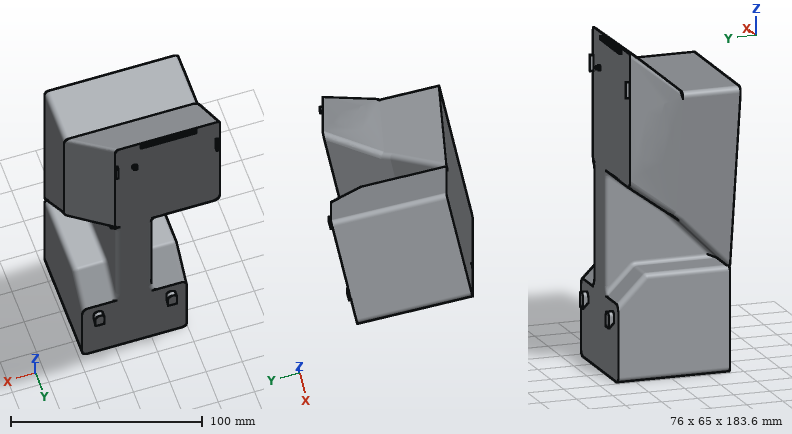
import cadquery as cq

width = 76.0
height = 183.6
body_depth = 62.0
pin_height = 3.0

base_left = 18.4
base_top = 57.8
ramp_start = 46.6
base_center = (base_left + width) / 2

head_front_left = 1.5
head_front_top = 159.5
bend_depth = 32.0
head_back_right = 57.8

front_wall = 1.1
underside_bend_depth = 29.4
underside_bend_height = 86.1
underside_back_height = 110.5

neck_width = 19.8
neck_edge_radius = 2.2

outer_radius = 3.0
rear_top_radius = 1.5
inner_radius = 2.4

pin_diameter = 5.0
pin_center_height = 34.5
pin_tip_height = 28.5
pin_spacing = 40.0
clip_thickness = 1.3
clip_length = 8.6
clip_height = 1.8
clip_bottom = 159.5
clip_centers = (1.8, 57.3)
bar_left = 13.2
bar_length = 30.7
bar_width = 1.5
bar_height = 1.1
bar_bottom = 180.5
bar_chamfer = 0.5
button_center = (base_center, clip_bottom + clip_length / 2)
button_diameter = 2.8
button_flange_height = 0.5
button_cap_diameter = 1.8
button_cap_height = 1.8

overlap = 1.8


def prism_along_x(points, start, end):
    """Extrude a (Y, Z) outline from x = start to x = end."""
    return cq.Workplane("YZ").workplane(offset=start).polyline(points).close().extrude(end - start)


def prism_along_y(points, start, end):
    """Extrude an (X, Z) outline from y = start to y = end."""
    return cq.Workplane("XZ", origin=(0, start, 0)).polyline(points).close().extrude(start - end)


def underside_height(depth):
    """Height of the rear slope of the head's underside at a given depth."""
    slope = (underside_back_height - underside_bend_height) / (body_depth - underside_bend_depth)
    return underside_bend_height + slope * (depth - underside_bend_depth)


def gap_outline(back):
    """(Y, Z) outline of the gap between base and head, open to y = back."""
    return [
        (front_wall, base_top),
        (ramp_start, base_top),
        (back, base_top - (back - ramp_start)),
        (back, underside_height(back)),
        (underside_bend_depth, underside_bend_height),
    ]


def make_gap(start, end, back):
    """Gap between base and head from x = start to x = end, rounded where the base's ramp starts."""
    gap = prism_along_x(gap_outline(back), start, end)
    ramp_edge = cq.selectors.NearestToPointSelector(((start + end) / 2, ramp_start, base_top))
    return gap.edges(ramp_edge).fillet(outer_radius)


def make_base():
    """Base block with the ramp start and the side edges rounded."""
    outline = [
        (0, 0),
        (body_depth, 0),
        (body_depth, base_top - (body_depth - ramp_start)),
        (ramp_start, base_top),
        (0, base_top),
    ]
    block = prism_along_x(outline, base_left, width)
    ramp_edge = cq.selectors.NearestToPointSelector((base_center, ramp_start, base_top))
    block = block.edges(ramp_edge).fillet(outer_radius)
    long_edges = block.faces("<X or >X").edges("not(<Y or >Y)")
    return long_edges.fillet(outer_radius)


def side_x(z):
    """X of the slanted left side of the front part of the head."""
    return base_left + (head_front_left - base_left) * (z - base_top) / (head_front_top - base_top)


def side_edges(solid, lowest, highest):
    """Edges running front to back whose middle lies between two heights."""
    return solid.edges().filter(
        lambda edge: edge.BoundingBox().ylen > 2 * front_wall
        and lowest < edge.Center().z < highest
    )


def round_head(head):
    """Round the long side edges: underside, front top, then the flaring rear top."""
    head = side_edges(head, base_top, underside_back_height).fillet(outer_radius)
    below_top = head_front_top - outer_radius
    above_top = head_front_top + outer_radius
    head = side_edges(head, below_top, above_top).fillet(outer_radius)
    return side_edges(head, above_top, height).fillet(rear_top_radius)


def make_head():
    """Straight front part joined to the flaring rear part, cut off along the underside."""
    front_outline = [
        (base_left, base_top),
        (width, base_top),
        (width, head_front_top),
        (head_front_left, head_front_top),
    ]
    front = prism_along_y(front_outline, 0, bend_depth)

    bend_z = underside_height(bend_depth)
    bend_section = [
        (side_x(bend_z), bend_z),
        (width, bend_z),
        (width, head_front_top),
        (head_front_left, head_front_top),
    ]
    back_section = [
        (0, underside_back_height),
        (head_back_right, underside_back_height),
        (head_back_right, height),
        (0, height),
    ]
    rear = (
        cq.Workplane("XZ", origin=(0, bend_depth, 0))
        .polyline(bend_section)
        .close()
        .workplane(offset=bend_depth - body_depth)
        .polyline(back_section)
        .close()
        .loft(ruled=True, combine=True)
    )
    gap = make_gap(0, width, body_depth)
    head = front.union(rear).cut(gap)
    return round_head(head)


def make_neck():
    """Filling of the gap between base and head, with flared ends and rounded back edges."""
    reach = 3 * inner_radius
    back = body_depth + reach
    neck_left = base_center - neck_width / 2
    neck_right = base_center + neck_width / 2
    neck = make_gap(neck_left - reach, neck_right + reach, body_depth)
    left = make_gap(neck_left - 2 * reach, neck_left, back)
    right = make_gap(neck_right, neck_right + 2 * reach, back)
    neck = neck.cut(left.faces(">X").edges().fillet(inner_radius))
    neck = neck.cut(right.faces("<X").edges().fillet(inner_radius))
    return neck.edges("|Z and >Y").fillet(neck_edge_radius)


def make_hook_pin(center_x):
    """Pin with a half-round top and a bottom that slopes down to a tip away from the body."""
    half = pin_diameter / 2
    tip_depth = body_depth + pin_height
    front_shape = (
        cq.Workplane("XZ", origin=(center_x, body_depth - overlap, 0))
        .moveTo(-half, pin_tip_height)
        .lineTo(-half, pin_center_height)
        .threePointArc((0, pin_center_height + half), (half, pin_center_height))
        .lineTo(half, pin_tip_height)
        .close()
        .extrude(-overlap - pin_height)
    )
    below_slope = [
        (tip_depth, pin_tip_height),
        (body_depth - overlap, pin_tip_height + pin_height + overlap),
        (body_depth - overlap, pin_tip_height),
    ]
    return front_shape.cut(prism_along_x(below_slope, center_x - half, center_x + half))


def raised_bar(left, bottom, length, tall, thickness):
    """Rectangular plate standing on the back face."""
    return cq.Workplane("XY").box(length, thickness + overlap, tall, centered=False).translate(
        (left, body_depth - overlap, bottom)
    )


def raised_disc(center, diameter, thickness):
    """Round plate standing on the back face."""
    x, z = center
    return (
        cq.Workplane("XZ", origin=(x, body_depth - overlap, z))
        .circle(diameter / 2)
        .extrude(-overlap - thickness)
    )


result = make_base().union(make_head()).union(make_neck())

for side in (-1, 1):
    result = result.union(make_hook_pin(base_center + side * pin_spacing / 2))

for center_x in clip_centers:
    clip_left = center_x - clip_thickness / 2
    result = result.union(raised_bar(clip_left, clip_bottom, clip_thickness, clip_length, clip_height))

bar = raised_bar(bar_left, bar_bottom, bar_length, bar_width, bar_height)
result = result.union(bar.edges("|Z and <X and >Y").chamfer(bar_chamfer))

result = result.union(raised_disc(button_center, button_diameter, button_flange_height))
result = result.union(raised_disc(button_center, button_cap_diameter, button_cap_height))

result = result.clean()